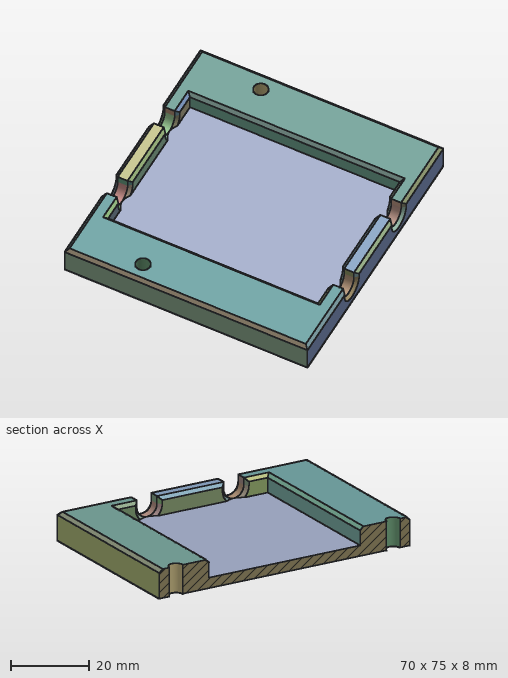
import cadquery as cq

length_x = 70.0
length_y = 75.0
height = 8.0
outer_chamfer = 1.0

pocket_x = 60.45
pocket_y = 45.1
pocket_depth = 5.0
pocket_chamfer = 1.0

slot_radius = 3.0
slot_axis_depth = 2.0
slot_offset_y = 13.0
cutter_clearance = 1.5

hole_diameter = 4.0
hole_x = -15.0
hole_offset_y = 32.5

end_wall = (length_x - pocket_x) / 2


def make_plate():
    plate = cq.Workplane("XY").box(length_x, length_y, height, centered=(True, True, False))
    return plate.faces(">Z").edges().chamfer(outer_chamfer)


def make_pocket():
    """Straight-walled recess topped by a 45-degree bevel."""
    recess = (
        cq.Workplane("XY")
        .workplane(offset=height - pocket_depth)
        .rect(pocket_x, pocket_y)
        .extrude(pocket_depth)
    )
    bevel = (
        cq.Workplane("XY")
        .workplane(offset=height - pocket_chamfer)
        .rect(pocket_x, pocket_y)
        .workplane(offset=pocket_chamfer)
        .rect(pocket_x + 2 * pocket_chamfer, pocket_y + 2 * pocket_chamfer)
        .loft(ruled=True)
    )
    return recess.union(bevel)


def slot_wire(x, y, radius):
    """Closed U outline in the YZ plane, reaching above the plate."""
    axis_z = height - slot_axis_depth
    top_z = height + cutter_clearance
    outline = (
        cq.Workplane("YZ", origin=(x, y, axis_z))
        .moveTo(-radius, top_z - axis_z)
        .lineTo(-radius, 0)
        .threePointArc((0, -radius), (radius, 0))
        .lineTo(radius, top_z - axis_z)
        .close()
    )
    return outline.val()


def make_slot(side, y):
    """Slot through one end wall, flared at both mouths but never deeper than the floor inside."""
    outer_x = length_x / 2
    inner_x = outer_x - end_wall
    sections = (
        (outer_x, slot_radius + outer_chamfer),
        (outer_x - outer_chamfer, slot_radius),
        (inner_x + pocket_chamfer, slot_radius),
        (inner_x, slot_radius + pocket_chamfer),
    )
    wires = [slot_wire(side * x, y, radius) for x, radius in sections]
    outer_flare, passage, inner_flare = [
        cq.Workplane(cq.Solid.makeLoft([start, end], True)) for start, end in zip(wires, wires[1:])
    ]
    above_floor = (
        cq.Workplane("XY")
        .workplane(offset=height - pocket_depth)
        .rect(length_x, length_y)
        .extrude(pocket_depth + cutter_clearance)
    )
    return outer_flare.union(passage).union(inner_flare.intersect(above_floor))


result = make_plate().cut(make_pocket())

for side in (-1, 1):
    for slot_y in (-slot_offset_y, slot_offset_y):
        result = result.cut(make_slot(side, slot_y))

mounting_holes = (
    cq.Workplane("XY")
    .pushPoints([(hole_x, -hole_offset_y), (hole_x, hole_offset_y)])
    .circle(hole_diameter / 2)
    .extrude(height)
)
result = result.cut(mounting_holes)